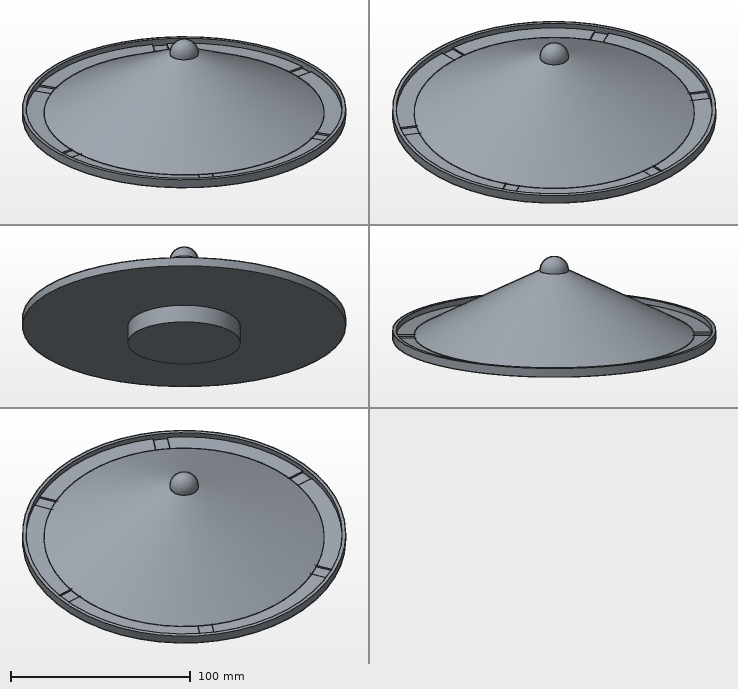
import cadquery as cq
import math

spigot_diameter = 62.6
spigot_height = 10.0

tray_diameter = 180.0
rim_inner_diameter = 176.0
tray_height = 5.0
floor_thickness = 2.0

cone_base_diameter = 156.0
skirt_height = 0.2
knob_diameter = 16.0
overall_height = 57.0

groove_count = 6
groove_width = 8.0
groove_depth = 1.0
groove_reach_under_roof = 4.0

tray_bottom = spigot_height
floor_level = tray_bottom + floor_thickness
groove_level = floor_level - groove_depth
skirt_top = floor_level + skirt_height
cone_top = overall_height - knob_diameter / 2


def make_disc(diameter, bottom, height):
    """Round disc centred on Z."""
    return cq.Workplane("XY").workplane(offset=bottom).circle(diameter / 2).extrude(height)


def make_tray():
    """Disc with a flat recessed floor inside a thin rim."""
    disc = make_disc(tray_diameter, tray_bottom, tray_height)
    recess = make_disc(rim_inner_diameter, floor_level, tray_height - floor_thickness)
    return disc.cut(recess)


def cut_grooves(tray):
    """Cut evenly spaced radial grooves from under the roof edge out to the rim."""
    inner_radius = cone_base_diameter / 2 - groove_reach_under_roof
    length = tray_diameter / 2 - inner_radius
    inside_rim = make_disc(rim_inner_diameter, groove_level, groove_depth)
    groove = (
        cq.Workplane("XY")
        .workplane(offset=groove_level)
        .center(inner_radius + length / 2, 0)
        .rect(length, groove_width)
        .extrude(groove_depth)
        .intersect(inside_rim)
    )
    for index in range(groove_count):
        angle = index * 360 / groove_count
        tray = tray.cut(groove.rotate((0, 0, 0), (0, 0, 1), angle))
    return tray


def make_roof():
    """Skirt, cone and half-ball knob, revolved as one profile about Z."""
    base_radius = cone_base_diameter / 2
    knob_radius = knob_diameter / 2
    knob_mid = knob_radius * math.sqrt(0.5)
    return (
        cq.Workplane("XZ")
        .moveTo(0, floor_level)
        .lineTo(base_radius, floor_level)
        .lineTo(base_radius, skirt_top)
        .lineTo(knob_radius, cone_top)
        .threePointArc((knob_mid, cone_top + knob_mid), (0, overall_height))
        .close()
        .revolve(360, (0, 0, 0), (0, 1, 0))
    )


spigot = make_disc(spigot_diameter, 0, spigot_height)
result = cut_grooves(make_tray()).union(spigot).union(make_roof())